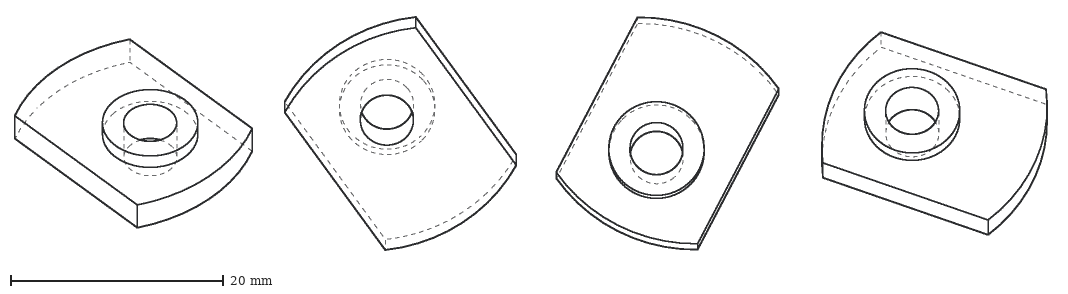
import cadquery as cq
import math

plate_length = 20.464
plate_width = 15.0
plate_thickness = 3.0
end_radius = 16.0

boss_diameter = 9.0
boss_height = 1.5
hole_diameter = 5.0
boss_offset = 2.27

half_width = plate_width / 2
end_bow = end_radius - math.sqrt(end_radius**2 - half_width**2)

left_end = -boss_offset - plate_length / 2
right_end = left_end + plate_length
left_corner = left_end + end_bow
right_corner = right_end - end_bow


def make_plate():
    return (
        cq.Workplane("XY")
        .moveTo(left_corner, -half_width)
        .lineTo(right_corner, -half_width)
        .threePointArc((right_end, 0), (right_corner, half_width))
        .lineTo(left_corner, half_width)
        .threePointArc((left_end, 0), (left_corner, -half_width))
        .close()
        .extrude(plate_thickness)
    )


def make_boss():
    return (
        cq.Workplane("XY")
        .workplane(offset=plate_thickness)
        .circle(boss_diameter / 2)
        .extrude(boss_height)
    )


def make_hole():
    return cq.Workplane("XY").circle(hole_diameter / 2).extrude(plate_thickness + boss_height)


result = make_plate().union(make_boss()).cut(make_hole())